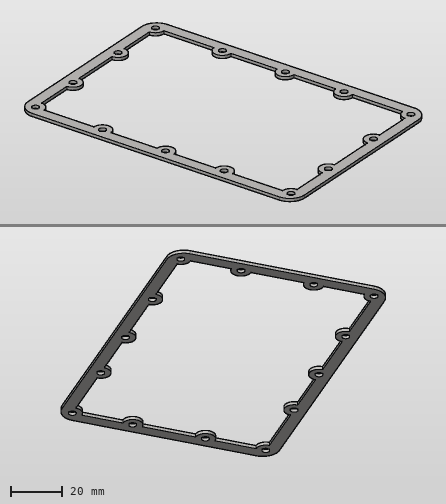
import cadquery as cq

length = 132.0
width = 90.0
thickness = 1.5
corner_radius = 7.0
rail_width = 5.0

hole_diameter = 3.0
eye_diameter = 8.0
long_rail_eye_x = (-29.0, 1.0, 29.0)
short_rail_eye_y = 15.0

opening_length = length - 2 * rail_width
opening_width = width - 2 * rail_width
eye_x = opening_length / 2
eye_y = opening_width / 2


def eye_centres():
    """Corner eyes, then the eyes along the long and the short rails."""
    corners = [(sx * eye_x, sy * eye_y) for sx in (-1, 1) for sy in (-1, 1)]
    long_rails = [(x, sy * eye_y) for x in long_rail_eye_x for sy in (-1, 1)]
    short_rails = [(sx * eye_x, sy * short_rail_eye_y) for sx in (-1, 1) for sy in (-1, 1)]
    return corners + long_rails + short_rails


def plate():
    """Flat plate with rounded outer corners, centred on the origin."""
    return cq.Workplane("XY").box(length, width, thickness).edges("|Z").fillet(corner_radius)


def cylinders(diameter):
    """One full-thickness cylinder at every eye centre."""
    base = cq.Workplane("XY").workplane(offset=-thickness / 2)
    return base.pushPoints(eye_centres()).circle(diameter / 2).extrude(thickness)


opening = cq.Workplane("XY").box(opening_length, opening_width, thickness)
frame = plate().cut(opening)
result = frame.union(cylinders(eye_diameter)).cut(cylinders(hole_diameter))